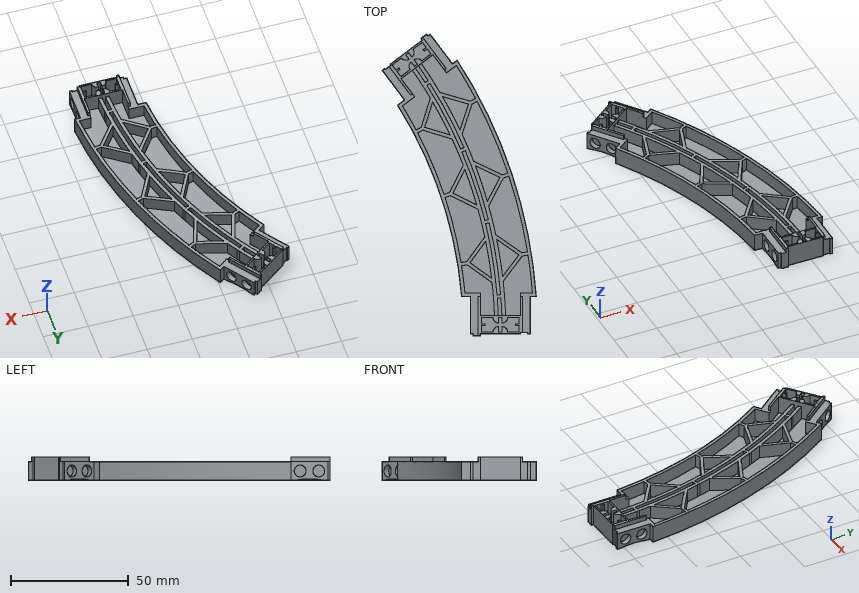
import cadquery as cq
import math

TURN = 37
END_REACH = 0.83
MID_RADIUS = 195.9
BED_WIDTH = 31.6
BED_HEIGHT = 7.9
FLOOR = 1.9
WALL = 1.5
OUTER_RADIUS = MID_RADIUS + BED_WIDTH / 2
INNER_RADIUS = MID_RADIUS - BED_WIDTH / 2

PANELS = 4
PANEL_ANGLE = 9.4
RAIL_GAP = 1.5
RAIL_OUTSIDE = 4.7
RUNG = 1.4
BRACE = 1.4
BRACE_HALF_SPAN = 9.7
APEX_OFFSET = 11.5

TAB_WIDTH = 25.5
TAB_LENGTH = 15.7
RAISED_WIDTH = 18.8
RAISED_HEIGHT = 10.0
BAY_WIDTH = 16.9
BOX_LENGTH = 7.7
BOX_WALL = 0.8
BOX_INSIDE_WIDTH = 16.0
KEY_INNER = 8.5
KEY_OUTER = 11.5
TONGUE_REACH = 0.9
GROOVE_DEPTH = 0.5

CLIP_RADIUS = 2.3
CLIP_SLOT = 1.5
STUB_LENGTH = 1.5
STUB_THICKNESS = 0.8

HOLE_DIAMETER = 5.0
HOLE_DEPTH = 2.4
HOLE_SPACING = 7.9
RELIEF_LENGTH = 12.8
RELIEF_RISE = 0.6

BAY_END = TAB_LENGTH + WALL
SIDE_THICKNESS = (TAB_WIDTH - BAY_WIDTH) / 2


def block(x_min, x_max, y_min, y_max, z_min, z_max):
    return (
        cq.Workplane("XY")
        .box(x_max - x_min, y_max - y_min, z_max - z_min, centered=False)
        .translate((x_min, y_min, z_min))
    )


def ring(outer_radius, inner_radius, z_min, z_max):
    """Full ring about the origin, which is the centre of the curve."""
    return (
        cq.Workplane("XY")
        .workplane(offset=z_min)
        .circle(outer_radius)
        .circle(inner_radius)
        .extrude(z_max - z_min)
    )


def polar(radius, degrees):
    angle = math.radians(degrees)
    return (radius * math.cos(angle), radius * math.sin(angle))


def at_both_ends(local):
    """Place connector geometry at both ends; the far one is turned about its own middle."""
    near = local.translate((MID_RADIUS, -END_REACH, 0))
    far = local.rotate((0, 0, 0), (0, 0, 1), 180).translate((MID_RADIUS, END_REACH, 0))
    return near.union(far.rotate((0, 0, 0), (0, 0, 1), TURN))


def sector(inset, z_min, z_max):
    """Ring sector between the shoulders, pulled in by `inset` on every side."""
    start = TAB_LENGTH - END_REACH + inset
    outer = OUTER_RADIUS - inset
    inner = INNER_RADIUS + inset
    start_outer_angle = math.degrees(math.asin(start / outer))
    start_inner_angle = math.degrees(math.asin(start / inner))
    return (
        cq.Workplane("XY")
        .workplane(offset=z_min)
        .moveTo(*polar(outer, start_outer_angle))
        .threePointArc(polar(outer, TURN / 2), polar(outer, TURN - start_outer_angle))
        .lineTo(*polar(inner, TURN - start_inner_angle))
        .threePointArc(polar(inner, TURN / 2), polar(inner, start_inner_angle))
        .close()
        .extrude(z_max - z_min)
    )


def strip(start, end, width):
    """Straight upright web from the floor to the top of the bed."""
    length = math.dist(start, end)
    angle = math.degrees(math.atan2(end[1] - start[1], end[0] - start[0]))
    web = block(0, length, -width / 2, width / 2, FLOOR, BED_HEIGHT)
    return web.rotate((0, 0, 0), (0, 0, 1), angle).translate((*start, 0))


def braces():
    """Two webs forming a triangle on each side of the rails, tied to the side wall."""
    rail_middle = (RAIL_OUTSIDE + RAIL_GAP) / 4
    foot_angle = math.degrees(BRACE_HALF_SPAN / MID_RADIUS)
    webs = cq.Workplane("XY")
    for joint in range(1, PANELS):
        angle = TURN / 2 + (joint - PANELS / 2) * PANEL_ANGLE
        for side in (-1, 1):
            apex = polar(MID_RADIUS + side * APEX_OFFSET, angle)
            wall = polar(MID_RADIUS + side * (BED_WIDTH - WALL) / 2, angle)
            webs = webs.union(strip(apex, wall, BRACE))
            for direction in (-1, 1):
                foot = polar(MID_RADIUS + side * rail_middle, angle + direction * foot_angle)
                webs = webs.union(strip(foot, apex, BRACE))
    return webs


def rails(open_area):
    """Two concentric rails joined by a rung in the middle of each panel."""
    half_outside = RAIL_OUTSIDE / 2
    half_gap = RAIL_GAP / 2
    ladder = ring(MID_RADIUS + half_outside, MID_RADIUS + half_gap, FLOOR, BED_HEIGHT)
    ladder = ladder.union(ring(MID_RADIUS - half_gap, MID_RADIUS - half_outside, FLOOR, BED_HEIGHT))
    for panel in range(PANELS):
        angle = TURN / 2 + (panel - (PANELS - 1) / 2) * PANEL_ANGLE
        ladder = ladder.union(
            strip(polar(MID_RADIUS - half_outside, angle), polar(MID_RADIUS + half_outside, angle), RUNG)
        )
    return ladder.intersect(open_area)


def tab():
    """Solid connector tab with its raised middle and the tongue."""
    overlap = TAB_LENGTH + WALL / 2
    body = block(-TAB_WIDTH / 2, TAB_WIDTH / 2, 0, overlap, 0, BED_HEIGHT)
    body = body.union(block(-RAISED_WIDTH / 2, RAISED_WIDTH / 2, 0, TAB_LENGTH, 0, RAISED_HEIGHT))
    tongue = block(-KEY_OUTER, -KEY_INNER, -TONGUE_REACH, 0, 0, BED_HEIGHT)
    raised_tongue = block(-RAISED_WIDTH / 2, -KEY_INNER, -TONGUE_REACH, 0, 0, RAISED_HEIGHT)
    return body.union(tongue).union(raised_tongue)


def bay():
    """Open bay behind the box, running through into the bed."""
    return block(-BAY_WIDTH / 2, BAY_WIDTH / 2, BOX_LENGTH, BAY_END, FLOOR, RAISED_HEIGHT)


def box_pocket():
    """Inside of the box, less the two side stubs and the four clip jaws."""
    front = BOX_WALL
    back = BOX_LENGTH - BOX_WALL
    middle = BOX_LENGTH / 2
    half_width = BOX_INSIDE_WIDTH / 2
    pocket = block(-half_width, half_width, front, back, FLOOR, RAISED_HEIGHT)
    for side in (-1, 1):
        stub = block(
            half_width - STUB_LENGTH, half_width,
            middle - STUB_THICKNESS / 2, middle + STUB_THICKNESS / 2,
            FLOOR, RAISED_HEIGHT,
        )
        if side < 0:
            stub = stub.mirror("YZ")
        pocket = pocket.cut(stub)
    for x in (-CLIP_SLOT / 2, CLIP_SLOT / 2):
        for y in (front, back):
            jaw = cq.Workplane("XY").cylinder(RAISED_HEIGHT, CLIP_RADIUS, centered=(True, True, False))
            pocket = pocket.cut(jaw.translate((x, y, 0)))
    slot = block(-CLIP_SLOT / 2, CLIP_SLOT / 2, front, back, FLOOR, RAISED_HEIGHT)
    return pocket.union(slot)


def groove():
    """Groove in the end face that takes the tongue of the next part."""
    return block(KEY_INNER, KEY_OUTER, 0, GROOVE_DEPTH, 0, RAISED_HEIGHT)


def side_holes():
    """Blind holes in both outer sides of the tab."""
    half_width = TAB_WIDTH / 2
    middle = TAB_LENGTH / 2
    centres = [(middle + step * HOLE_SPACING / 2, BED_HEIGHT / 2) for step in (-1, 1)]
    holes = (
        cq.Workplane("YZ")
        .workplane(offset=half_width - HOLE_DEPTH)
        .pushPoints(centres)
        .circle(HOLE_DIAMETER / 2)
        .extrude(HOLE_DEPTH)
    )
    return holes.union(holes.mirror("YZ"))


def bottom_reliefs():
    """Shallow arched reliefs under both sides of the tab."""
    middle = TAB_LENGTH / 2
    relief = (
        cq.Workplane("YZ")
        .workplane(offset=TAB_WIDTH / 2 - SIDE_THICKNESS)
        .moveTo(middle - RELIEF_LENGTH / 2, 0)
        .threePointArc((middle, RELIEF_RISE), (middle + RELIEF_LENGTH / 2, 0))
        .close()
        .extrude(SIDE_THICKNESS)
    )
    return relief.union(relief.mirror("YZ"))


bed = sector(0, 0, BED_HEIGHT).union(at_both_ends(tab()))
bed_hollow = sector(WALL, FLOOR, BED_HEIGHT)
open_area = bed_hollow.union(at_both_ends(bay()))
hollow = open_area.cut(rails(open_area)).cut(braces())

result = bed.cut(hollow)
result = result.cut(at_both_ends(box_pocket()))
result = result.cut(at_both_ends(groove()))
result = result.cut(at_both_ends(side_holes()))
result = result.cut(at_both_ends(bottom_reliefs()))